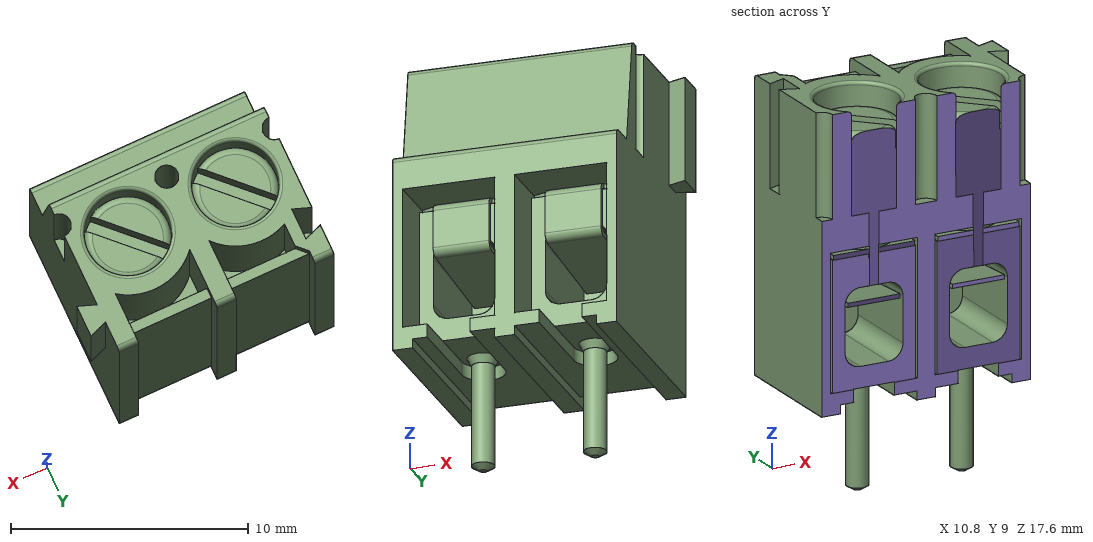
import cadquery as cq


pole_count = 2
overall_height = 17.6
pole_pitch = 5.0
axis_y = 4.49

housing_width = pole_count * pole_pitch
housing_depth = 9.0
housing_height = 13.5
shoulder_z = 8.8
slope_foot_y = 1.3
slope_top_y = 1.99
edge_radius = 0.25
rib_width = 0.9
foot_height = 0.4

recess_depth = 0.55
rail_thickness = 0.45
rail_drop = 0.5
collar_radius = 2.71
recess_back_y = housing_depth - recess_depth
channel_back_y = recess_back_y - rail_thickness

dovetail_y = 7.2
dovetail_depth = 0.81
dovetail_neck_width = 0.83
dovetail_tip_width = 1.43

probe_diameter = 1.0
probe_y = 3.0

head_diameter = 3.7
head_top_diameter = 3.0
head_inset = 1.0
head_top_z = housing_height - head_inset
head_edge_radius = (head_diameter - head_top_diameter) / 2
shank_diameter = 3.05
bore_mouth_diameter = 4.0
bore_mouth_radius = (bore_mouth_diameter - head_diameter) / 2
drive_slot_width = 0.67
drive_slot_depth = 1.0
drive_slot_angle = -45.0

pocket_width = 4.12
pocket_floor_z = 1.0
pocket_top_z = 7.29
floor_slot_width = 1.92

cage_width = 4.0
cage_front_y = 2.0
cage_back_y = 2 * axis_y - cage_front_y
cage_top_z = 6.97
window_width = 2.75
window_bottom_z = 1.99
window_top_z = 5.5
window_radius = 0.7
pin_diameter = 1.0
pin_tip_z = housing_height - overall_height
pin_tip_height = 0.21
pin_tip_diameter = 0.32
pin_flare_diameter = 1.39
pin_flare_z = 0.65

leaf_thickness = 0.21
leaf_width = 3.9
tongue_width = 2.5
bend_radius = 0.35
tongue_front_y = 1.62
tongue_bottom_z = 4.79
shoulder_front_y = cage_front_y
shoulder_length = 0.28
lip_end_z = 4.42


def box_between(x0, x1, y0, y1, z0, z1):
    """Axis-aligned box given by its limits."""
    return cq.Workplane("XY").box(x1 - x0, y1 - y0, z1 - z0, centered=False).translate((x0, y0, z0))


def upright_cylinder(x, y, diameter, z0, z1):
    """Vertical cylinder between two heights."""
    return cq.Workplane("XY", origin=(x, y, z0)).circle(diameter / 2).extrude(z1 - z0)


def pole_x(pole):
    """X of a pole's centre."""
    return (pole + 0.5) * pole_pitch


def make_block():
    """Stepped side profile with a sloping upper front and rounded edges."""
    profile = [
        (0, 0),
        (housing_depth, 0),
        (housing_depth, housing_height),
        (slope_top_y, housing_height),
        (slope_foot_y, shoulder_z),
        (0, shoulder_z),
    ]
    block = cq.Workplane("YZ").polyline(profile).close().extrude(housing_width)
    rounded = [
        (housing_depth, housing_height),
        (slope_top_y, housing_height),
        (0, shoulder_z),
    ]
    for y, z in rounded:
        middle = (housing_width / 2, y, z)
        block = block.edges(cq.selectors.NearestToPointSelector(middle)).fillet(edge_radius)
    return block


def make_dovetail(face_x):
    """Dovetail prism growing in +X from its neck at face_x."""
    outline = [
        (face_x, dovetail_y - dovetail_neck_width / 2),
        (face_x + dovetail_depth, dovetail_y - dovetail_tip_width / 2),
        (face_x + dovetail_depth, dovetail_y + dovetail_tip_width / 2),
        (face_x, dovetail_y + dovetail_neck_width / 2),
    ]
    prism = cq.Workplane("XY", origin=(0, 0, shoulder_z)).polyline(outline).close()
    return prism.extrude(housing_height - shoulder_z)


def gap_limits(pole):
    """Left and right X of the clear gap between the ribs on both sides of a pole."""
    left = max(rib_width, pole * pole_pitch + rib_width / 2)
    right = min(housing_width - rib_width, (pole + 1) * pole_pitch - rib_width / 2)
    return left, right


def make_back_cut(pole):
    """Recess, lowered rail and top channel behind one pole's screw."""
    left, right = gap_limits(pole)
    channel_left = left + rail_thickness if pole == 0 else left

    recess = box_between(left, right, recess_back_y, housing_depth, 0, housing_height)
    rail_outline = [
        (left, recess_back_y),
        (channel_left, channel_back_y),
        (right, channel_back_y),
        (right, recess_back_y),
    ]
    rail_top = cq.Workplane("XY", origin=(0, 0, housing_height - rail_drop))
    rail_relief = rail_top.polyline(rail_outline).close().extrude(rail_drop)
    channel = box_between(channel_left, right, axis_y, channel_back_y, shoulder_z, housing_height)
    collar = upright_cylinder(pole_x(pole), axis_y, 2 * collar_radius, shoulder_z, housing_height)
    return recess.union(rail_relief).union(channel.cut(collar))


def make_screw_bore(pole):
    """Counterbore for the head with a rounded mouth, and the shank hole below it."""
    outline = (
        cq.Workplane("XZ")
        .moveTo(0, pocket_top_z)
        .lineTo(shank_diameter / 2, pocket_top_z)
        .lineTo(shank_diameter / 2, shoulder_z)
        .lineTo(head_diameter / 2, shoulder_z)
        .lineTo(head_diameter / 2, housing_height - bore_mouth_radius)
        .radiusArc((bore_mouth_diameter / 2, housing_height), bore_mouth_radius)
        .lineTo(0, housing_height)
        .close()
    )
    return outline.revolve(360, (0, 0), (0, 1)).translate((pole_x(pole), axis_y, 0))


def make_wire_pocket(pole):
    """Wire entry pocket, open pin slot in its floor, and the relief between the feet."""
    x = pole_x(pole)
    half_pocket = pocket_width / 2
    half_slot = floor_slot_width / 2
    pocket = box_between(x - half_pocket, x + half_pocket, 0, cage_back_y, pocket_floor_z, pocket_top_z)
    slot = box_between(x - half_slot, x + half_slot, 0, axis_y, 0, pocket_floor_z)
    slot_end = upright_cylinder(x, axis_y, floor_slot_width, 0, pocket_floor_z)
    left, right = gap_limits(pole)
    feet_gap = box_between(left, right, 0, housing_depth, 0, foot_height)
    return pocket.union(slot).union(slot_end).union(feet_gap)


def make_housing():
    housing = make_block().union(make_dovetail(housing_width)).cut(make_dovetail(0))
    for boundary in range(pole_count + 1):
        x = boundary * pole_pitch
        housing = housing.cut(upright_cylinder(x, probe_y, probe_diameter, shoulder_z, housing_height))
    for pole in range(pole_count):
        housing = housing.cut(make_back_cut(pole))
        housing = housing.cut(make_screw_bore(pole))
        housing = housing.cut(make_wire_pocket(pole))
    return housing


def make_screw(pole):
    """Slotted screw: rounded head, and a shank that ends at the top of the cage window."""
    head = cq.Workplane("XY", origin=(0, 0, shoulder_z)).circle(head_diameter / 2)
    head = head.extrude(head_top_z - shoulder_z).faces(">Z").edges().fillet(head_edge_radius)
    drive_slot = cq.Workplane("XY", origin=(0, 0, head_top_z - drive_slot_depth))
    drive_slot = drive_slot.rect(2 * head_diameter, drive_slot_width).extrude(drive_slot_depth)
    drive_slot = drive_slot.rotate((0, 0, 0), (0, 0, 1), drive_slot_angle)
    shank = upright_cylinder(0, 0, shank_diameter, window_top_z, shoulder_z)
    return head.cut(drive_slot).union(shank).translate((pole_x(pole), axis_y, 0))


def make_pin():
    """Solder pin on the Z axis, flared under the cage and tapered at its tip."""
    pin_radius = pin_diameter / 2
    outline = [
        (0, pin_tip_z),
        (pin_tip_diameter / 2, pin_tip_z),
        (pin_radius, pin_tip_z + pin_tip_height),
        (pin_radius, pin_flare_z),
        (pin_flare_diameter / 2, pocket_floor_z),
        (0, pocket_floor_z),
    ]
    return cq.Workplane("XZ").polyline(outline).close().revolve(360, (0, 0), (0, 1))


def make_clamp(pole):
    """Cage with a rounded wire window, a screw hole in its roof and a solder pin below."""
    x = pole_x(pole)
    half_width = cage_width / 2
    cage = box_between(
        x - half_width, x + half_width, cage_front_y, cage_back_y, pocket_floor_z, cage_top_z
    )
    half_window = window_width / 2
    window = box_between(
        x - half_window, x + half_window, cage_front_y, cage_back_y, window_bottom_z, window_top_z
    )
    window = window.edges("|Y").fillet(window_radius)
    screw_hole = upright_cylinder(x, axis_y, shank_diameter, window_top_z, cage_top_z)
    return cage.cut(window).cut(screw_hole).union(make_pin().translate((x, axis_y, 0)))


def make_leaf(pole):
    """Sheet leaf: plate on the cage roof, tongue down its front, lip sloping back into the window."""
    plate_top_z = cage_top_z + leaf_thickness
    inner_radius = bend_radius - leaf_thickness
    bend_y = tongue_front_y + bend_radius
    upper_bend_z = plate_top_z - bend_radius
    lower_bend_z = tongue_bottom_z + bend_radius
    tongue_back_y = tongue_front_y + leaf_thickness
    half_tongue = tongue_width / 2

    strip = (
        cq.Workplane("YZ")
        .moveTo(cage_back_y, plate_top_z)
        .lineTo(bend_y, plate_top_z)
        .radiusArc((tongue_front_y, upper_bend_z), -bend_radius)
        .lineTo(tongue_front_y, lower_bend_z)
        .radiusArc((bend_y, tongue_bottom_z), -bend_radius)
        .lineTo(cage_back_y, lip_end_z)
        .lineTo(cage_back_y, lip_end_z + leaf_thickness)
        .lineTo(bend_y, tongue_bottom_z + leaf_thickness)
        .radiusArc((tongue_back_y, lower_bend_z), inner_radius)
        .lineTo(tongue_back_y, upper_bend_z)
        .radiusArc((bend_y, cage_top_z), inner_radius)
        .lineTo(cage_back_y, cage_top_z)
        .close()
        .extrude(half_tongue, both=True)
    )
    shoulder_back_y = shoulder_front_y + shoulder_length
    half_leaf = leaf_width / 2
    plate_outline = [
        (-half_tongue, shoulder_front_y),
        (half_tongue, shoulder_front_y),
        (half_leaf, shoulder_back_y),
        (half_leaf, cage_back_y),
        (-half_leaf, cage_back_y),
        (-half_leaf, shoulder_back_y),
    ]
    plate = cq.Workplane("XY", origin=(0, 0, cage_top_z)).polyline(plate_outline).close()
    plate = plate.extrude(leaf_thickness)
    screw_hole = upright_cylinder(0, axis_y, shank_diameter, cage_top_z, plate_top_z)
    return strip.union(plate).cut(screw_hole).translate((pole_x(pole), 0, 0))


housing = make_housing()
screws = [make_screw(pole) for pole in range(pole_count)]
clamps = [make_clamp(pole) for pole in range(pole_count)]
leaves = [make_leaf(pole) for pole in range(pole_count)]

bodies = [housing, *screws, *clamps, *leaves]
result = cq.Compound.makeCompound([body.solids().val() for body in bodies])